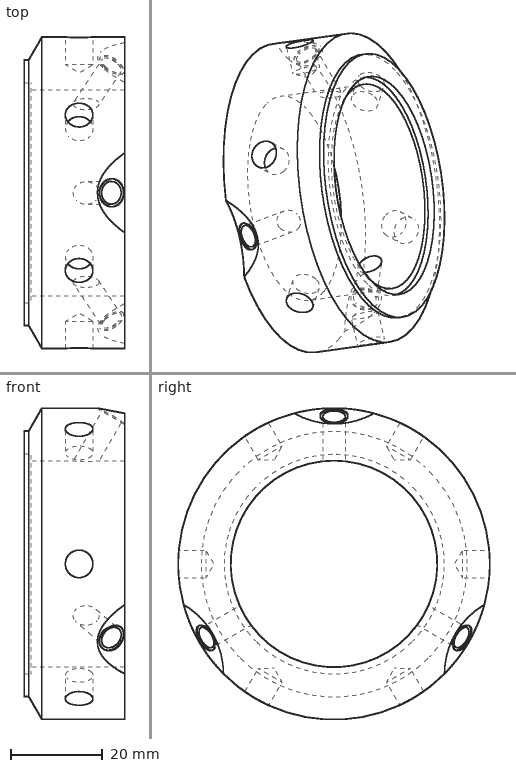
import cadquery as cq
import math

WIDTH = 22.0
OUTER_RADIUS = 68.0 / 2
NOSE_RADIUS = 58.0 / 2
BORE_RADIUS = 45.0 / 2
NOSE_LENGTH = 1.0
BEVEL_ANGLE = 30.0
BEVEL_LENGTH = (OUTER_RADIUS - NOSE_RADIUS) * math.tan(math.radians(BEVEL_ANGLE))
RECESS_RADIUS = 48.0 / 2
RECESS_DEPTH = 1.5

SPANNER_HOLE_COUNT = 6
SPANNER_FIRST_ANGLE = 90.0
SPANNER_HOLE_RADIUS = 6.0 / 2
SPANNER_HOLE_X = 12.0
SPANNER_HOLE_DEPTH = 6.0
DRILL_POINT_ANGLE = 118.0

SCREW_COUNT = 3
SCREW_TILT = 30.0
SCREW_ENTRY_X = 19.1
SCREW_RADIUS = 4.92 / 2
COUNTERBORE_RADIUS = 6.1 / 2
COUNTERBORE_DEPTH = 0.1
HOLLOW_START_X = 16.0
HOLLOW_RADIUS = 20.0

CUT_MARGIN = 10.0

AXIS_START = (0, 0, 0)
AXIS_END = (1, 0, 0)


def make_ring():
    """Bevelled ring with a shallow recess around the bore on the nose face."""
    profile = [
        (RECESS_DEPTH, BORE_RADIUS),
        (RECESS_DEPTH, RECESS_RADIUS),
        (0, RECESS_RADIUS),
        (0, NOSE_RADIUS),
        (NOSE_LENGTH, NOSE_RADIUS),
        (NOSE_LENGTH + BEVEL_LENGTH, OUTER_RADIUS),
        (WIDTH, OUTER_RADIUS),
        (WIDTH, BORE_RADIUS),
    ]
    return cq.Workplane("XZ").polyline(profile).close().revolve(360, (0, 0), (1, 0))


def around_x(tool, angle):
    """Turn a tool made at the +Z side of the rim about the ring axis."""
    return tool.rotate(AXIS_START, AXIS_END, angle)


def make_spanner_hole():
    """Radial drill shape at the +Z side, with a conical point towards the axis."""
    edge_z = OUTER_RADIUS - SPANNER_HOLE_DEPTH
    point_length = SPANNER_HOLE_RADIUS / math.tan(math.radians(DRILL_POINT_ANGLE / 2))
    profile = [
        (0, edge_z - point_length),
        (SPANNER_HOLE_RADIUS, edge_z),
        (SPANNER_HOLE_RADIUS, OUTER_RADIUS + CUT_MARGIN),
        (0, OUTER_RADIUS + CUT_MARGIN),
    ]
    drill = cq.Workplane("XZ").polyline(profile).close().revolve(360, (0, 0), (0, 1))
    return drill.translate((SPANNER_HOLE_X, 0, 0))


def make_screw_cutter():
    """Hollow, counterbore and screw hole at the +Z side, tilted towards +X."""
    tilt = math.radians(SCREW_TILT)
    entry_z = OUTER_RADIUS - (SCREW_ENTRY_X - HOLLOW_START_X) * math.tan(tilt)
    seat = cq.Plane(
        origin=(SCREW_ENTRY_X, 0, entry_z),
        xDir=(0, 1, 0),
        normal=(math.sin(tilt), 0, math.cos(tilt)),
    )

    hole_length = (entry_z - BORE_RADIUS) / math.cos(tilt) + CUT_MARGIN
    hole = cq.Workplane(seat).circle(SCREW_RADIUS).extrude(-hole_length)
    floor = cq.Workplane(seat).workplane(offset=-COUNTERBORE_DEPTH)
    counterbore = floor.circle(COUNTERBORE_RADIUS).extrude(CUT_MARGIN)

    hollow_plane = cq.Plane(
        origin=seat.toWorldCoords((0, 0, HOLLOW_RADIUS)).toTuple(),
        xDir=(0, 1, 0),
        normal=seat.yDir.toTuple(),
    )
    hollow = cq.Workplane(hollow_plane).circle(HOLLOW_RADIUS).extrude(OUTER_RADIUS, both=True)
    return hollow.union(counterbore).union(hole)


result = make_ring()

for index in range(SPANNER_HOLE_COUNT):
    spanner_angle = SPANNER_FIRST_ANGLE + index * 360 / SPANNER_HOLE_COUNT
    result = result.cut(around_x(make_spanner_hole(), spanner_angle))

for index in range(SCREW_COUNT):
    result = result.cut(around_x(make_screw_cutter(), index * 360 / SCREW_COUNT))